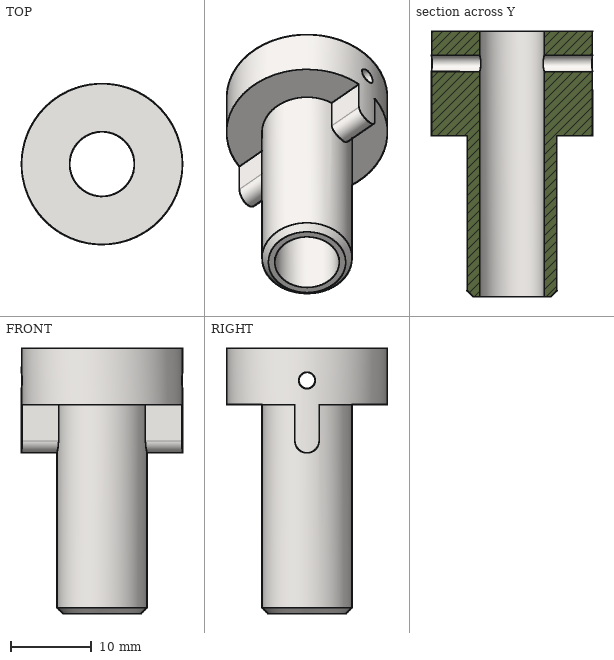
import cadquery as cq

total_height = 33.0
head_diameter = 20.0
head_height = 7.0
shank_diameter = 11.2
tip_chamfer = 0.8
bore_diameter = 8.0
lug_width = 3.0
lug_drop = 6.0
pin_hole_diameter = 2.0
pin_hole_depth = 4.0

head_bottom = total_height - head_height
lug_round_center = head_bottom - lug_drop + lug_width / 2
pin_hole_height = total_height - pin_hole_depth


def cylinder(diameter, bottom, top):
    """Upright cylinder on the part axis."""
    return cq.Workplane("XY").workplane(offset=bottom).circle(diameter / 2).extrude(top - bottom)


def make_shank():
    """Round shank with a chamfered tip, reaching up to the top of the part."""
    return cylinder(shank_diameter, 0, total_height).faces("<Z").edges().chamfer(tip_chamfer)


def make_lugs():
    """Pair of round-ended lugs under the head, flush with its outer diameter."""
    half_width = lug_width / 2
    bar = (
        cq.Workplane("YZ")
        .moveTo(-half_width, head_bottom)
        .lineTo(-half_width, lug_round_center)
        .threePointArc((0, lug_round_center - half_width), (half_width, lug_round_center))
        .lineTo(half_width, head_bottom)
        .close()
        .extrude(head_diameter / 2, both=True)
    )
    return bar.intersect(cylinder(head_diameter, 0, total_height))


def make_pin_hole():
    """Cross hole along X through both walls of the head."""
    return (
        cq.Workplane("YZ")
        .center(0, pin_hole_height)
        .circle(pin_hole_diameter / 2)
        .extrude(head_diameter, both=True)
    )


head = cylinder(head_diameter, head_bottom, total_height)
bore = cylinder(bore_diameter, 0, total_height)

result = make_shank().union(head).union(make_lugs()).cut(bore).cut(make_pin_hole())